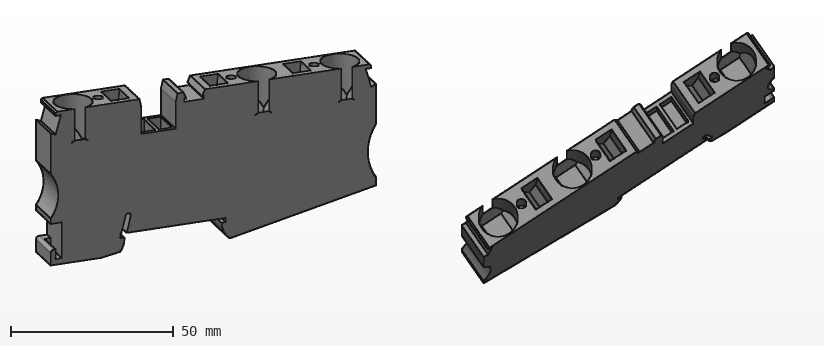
import cadquery as cq
import math

THICKNESS = 12.2
LENGTH = 107.7
HEIGHT = 50.7

END_Y = LENGTH / 2
SIDE_X = THICKNESS / 2

SLOPE_START_Z = 10.2
RAIL_HOOK_Y = 5.4

LIP_Y = 52.2
LIP_CHAMFER = 0.5
LIP_BOTTOM_Z = 49.3
NECK_Y = 50.5
NECK_FOOT_Y = 52.2
SHOULDER_INNER_Z = 43.2
SHOULDER_OUTER_Z = 43.8

SCOOPS = [
    (1, 12.9, 30.6, 2.7),
    (-1, 15.6, 30.4, 2.5),
]

GROOVE_Y_MAX = -2.8
GROOVE_Y_MIN = -9.9
GROOVE_FLOOR_Z = 47.6
GROOVE_LIP_Z = 48.6
GROOVE_LIP_REACH = 1.0
GROOVE_UNDERCUT = 0.6

NOTCH_Y_MAX = -12.5
NOTCH_Y_MIN = -23.8
NOTCH_FLOOR_Z = 39.1
NOTCH_FLARE = 0.6
NOTCH_FLARE_Z = 47.9

POCKET_X = 9.4
POCKET_Y = 4.3
POCKET_DEPTH = 5.4
POCKET_CENTRES_Y = [-15.3, -20.8]

SEAT_Z = 7.0
HOOK_TOP_Z = 5.6
HOOK_TIP_Y = 2.7
HOOK_ROOT_Y = 4.1
LATCH_TIP_Y = -29.4
LATCH_ROOT_Y = -30.7
HOOK_BULGE = (3.6, 2.4)
LATCH_BULGE = (-29.7, 3.2)
LATCH_HEEL = (-30.8, 1.1)
LATCH_TOE_Y = -37.2

SLIT_WIDTH = 1.7
SLIT_TOP = (-28.2, 12.6)
SLIT_BOTTOM = (-29.9, HOOK_TOP_Z)

STEP_DEPTH = 3.7
STEP_BOTTOM_Z = 5.2
STEP_TOP_Z = 13.8

FOOT_GROOVE_Y = 2.0
FOOT_GROOVE_START_X = -3.0
FOOT_GROOVE_DEPTH = 3.2
FOOT_LIP_RADIUS = 1.1

TERMINAL_PITCH = 27.5
FUNNEL_Y = 44.2
FUNNEL_X = 0.3
FUNNEL_RADIUS = 6.0
FUNNEL_DEPTH = 15.1
FUNNEL_FLOOR_X = 7.4
FUNNEL_FLOOR_Y = 7.1
FUNNEL_SIDE_ANGLE = 66
FUNNEL_OUTER_ANGLE = 70
FUNNEL_INNER_ANGLE = 30

TEST_HOLE_Y = 35.8
TEST_HOLE_RADIUS = 1.5
TEST_HOLE_DEPTH = 8.6
TEST_FLOOR_EDGE = 0.3
TEST_SLOPE_ANGLE = 60

SLOT_X = 8.1
SLOT_OUTER_Y = 33.1
SLOT_INNER_Y = 27.1
SLOT_DEPTH = 11.3
SLOT_VALLEY_Y = 30.2
SLOT_OUTER_BEND = (32.4, 6.2)
SLOT_INNER_BEND = (27.8, 7.2)
SLOT_INNER_RIM = 1.7

TERMINALS = [(1, 0), (1, TERMINAL_PITCH), (-1, 0)]


def prism(points, width=THICKNESS, centre_x=0.0):
    """Extrude a closed (Y, Z) polygon along X, centred on centre_x."""
    outline = cq.Workplane("YZ").polyline(points).close()
    return outline.extrude(width / 2, both=True).translate((centre_x, 0, 0))


def rise(run, angle):
    """Height gained over a horizontal run by a face at the given angle."""
    return run * math.tan(math.radians(angle))


def make_body():
    return prism([
        (END_Y, SLOPE_START_Z),
        (RAIL_HOOK_Y, 0),
        (-END_Y, 0),
        (-END_Y, HEIGHT),
        (END_Y, HEIGHT),
    ])


def end_neck(side):
    points = [
        (LIP_Y - LIP_CHAMFER, HEIGHT),
        (LIP_Y, HEIGHT - LIP_CHAMFER),
        (LIP_Y, LIP_BOTTOM_Z),
        (NECK_Y, LIP_BOTTOM_Z),
        (NECK_FOOT_Y, SHOULDER_INNER_Z),
        (END_Y, SHOULDER_OUTER_Z),
        (END_Y, HEIGHT),
    ]
    return prism([(side * y, z) for y, z in points])


def finger_scoop(side, z_min, z_max, depth):
    half_chord = (z_max - z_min) / 2
    radius = (half_chord**2 + depth**2) / (2 * depth)
    centre = (side * (END_Y - depth + radius), (z_min + z_max) / 2)
    return cq.Workplane("YZ").center(*centre).circle(radius).extrude(SIDE_X, both=True)


def marker_groove():
    return prism([
        (GROOVE_Y_MAX, HEIGHT),
        (GROOVE_Y_MAX - GROOVE_LIP_REACH, GROOVE_LIP_Z),
        (GROOVE_Y_MAX - GROOVE_LIP_REACH + GROOVE_UNDERCUT, GROOVE_LIP_Z),
        (GROOVE_Y_MAX - GROOVE_LIP_REACH + GROOVE_UNDERCUT, GROOVE_FLOOR_Z),
        (GROOVE_Y_MIN + GROOVE_LIP_REACH - GROOVE_UNDERCUT, GROOVE_FLOOR_Z),
        (GROOVE_Y_MIN + GROOVE_LIP_REACH - GROOVE_UNDERCUT, GROOVE_LIP_Z),
        (GROOVE_Y_MIN + GROOVE_LIP_REACH, GROOVE_LIP_Z),
        (GROOVE_Y_MIN, HEIGHT),
    ])


def bridge_notch():
    notch = prism([
        (NOTCH_Y_MAX + NOTCH_FLARE, HEIGHT),
        (NOTCH_Y_MAX, NOTCH_FLARE_Z),
        (NOTCH_Y_MAX, NOTCH_FLOOR_Z),
        (NOTCH_Y_MIN, NOTCH_FLOOR_Z),
        (NOTCH_Y_MIN, NOTCH_FLARE_Z),
        (NOTCH_Y_MIN - NOTCH_FLARE, HEIGHT),
    ])
    pocket_z = NOTCH_FLOOR_Z - POCKET_DEPTH / 2
    for y in POCKET_CENTRES_Y:
        pocket = cq.Workplane("XY").box(POCKET_X, POCKET_Y, POCKET_DEPTH)
        notch = notch.union(pocket.translate((0, y, pocket_z)))
    return notch


def rail_seat():
    outline = (
        cq.Workplane("YZ")
        .moveTo(RAIL_HOOK_Y, 0)
        .threePointArc(HOOK_BULGE, (HOOK_TIP_Y, HOOK_TOP_Z))
        .lineTo(HOOK_ROOT_Y, HOOK_TOP_Z)
        .lineTo(HOOK_ROOT_Y, SEAT_Z)
        .lineTo(LATCH_ROOT_Y, SEAT_Z)
        .lineTo(LATCH_ROOT_Y, HOOK_TOP_Z)
        .lineTo(LATCH_TIP_Y, HOOK_TOP_Z)
        .threePointArc(LATCH_BULGE, LATCH_HEEL)
        .lineTo(LATCH_TOE_Y, 0)
        .close()
    )
    return outline.extrude(SIDE_X, both=True)


def spring_slit():
    dy = SLIT_BOTTOM[0] - SLIT_TOP[0]
    dz = SLIT_BOTTOM[1] - SLIT_TOP[1]
    length = math.hypot(dy, dz)
    across_y = -dz / length * SLIT_WIDTH / 2
    across_z = dy / length * SLIT_WIDTH / 2
    slit = prism([
        (SLIT_TOP[0] + across_y, SLIT_TOP[1] + across_z),
        (SLIT_TOP[0] - across_y, SLIT_TOP[1] - across_z),
        (SLIT_BOTTOM[0] - across_y, SLIT_BOTTOM[1] - across_z),
        (SLIT_BOTTOM[0] + across_y, SLIT_BOTTOM[1] + across_z),
    ])
    round_end = cq.Workplane("YZ").center(*SLIT_TOP).circle(SLIT_WIDTH / 2)
    return slit.union(round_end.extrude(SIDE_X, both=True))


def foot_step():
    return prism([
        (-END_Y, STEP_BOTTOM_Z),
        (STEP_DEPTH - END_Y, STEP_BOTTOM_Z),
        (STEP_DEPTH - END_Y, STEP_TOP_Z),
        (-END_Y, STEP_TOP_Z),
    ])


def foot_groove():
    width = SIDE_X - FOOT_GROOVE_START_X
    y_max = STEP_DEPTH - END_Y
    return prism([
        (y_max, STEP_BOTTOM_Z),
        (y_max - FOOT_GROOVE_Y, STEP_BOTTOM_Z),
        (y_max - FOOT_GROOVE_Y, STEP_BOTTOM_Z - FOOT_GROOVE_DEPTH),
        (y_max, STEP_BOTTOM_Z - FOOT_GROOVE_DEPTH),
    ], width, (SIDE_X + FOOT_GROOVE_START_X) / 2)


def wire_funnel():
    """Round shaft whose bottom narrows to a rectangle through four slanted faces."""
    floor_z = HEIGHT - FUNNEL_DEPTH
    reach = 2 * FUNNEL_RADIUS
    half_x = FUNNEL_FLOOR_X / 2
    half_y = FUNNEL_FLOOR_Y / 2
    shaft = (
        cq.Workplane("XY", origin=(FUNNEL_X, FUNNEL_Y, floor_z))
        .circle(FUNNEL_RADIUS)
        .extrude(FUNNEL_DEPTH)
    )
    ceiling_z = floor_z + rise(reach, FUNNEL_OUTER_ANGLE)
    along_y = prism([
        (FUNNEL_Y - half_y, floor_z),
        (FUNNEL_Y + half_y, floor_z),
        (FUNNEL_Y + half_y + reach, ceiling_z),
        (FUNNEL_Y - half_y - reach, ceiling_z),
        (FUNNEL_Y - half_y - reach, floor_z + rise(reach, FUNNEL_INNER_ANGLE)),
    ], 2 * reach)
    side_z = floor_z + rise(reach, FUNNEL_SIDE_ANGLE)
    along_x = (
        cq.Workplane("XZ", origin=(FUNNEL_X, FUNNEL_Y, 0))
        .polyline([
            (-half_x, floor_z),
            (half_x, floor_z),
            (half_x + reach, side_z),
            (-half_x - reach, side_z),
        ])
        .close()
        .extrude(reach, both=True)
    )
    return shaft.intersect(along_y).intersect(along_x)


def test_hole():
    """Small round hole with a level floor that ramps up on the outward side."""
    floor_z = HEIGHT - TEST_HOLE_DEPTH
    hole = (
        cq.Workplane("XY", origin=(0, TEST_HOLE_Y, floor_z))
        .circle(TEST_HOLE_RADIUS)
        .extrude(TEST_HOLE_DEPTH)
    )
    ramp_y = TEST_HOLE_Y + TEST_FLOOR_EDGE
    run = 2 * TEST_HOLE_RADIUS
    ramp = prism([
        (ramp_y, floor_z),
        (ramp_y + run, floor_z),
        (ramp_y + run, floor_z + rise(run, TEST_SLOPE_ANGLE)),
    ])
    return hole.cut(ramp)


def release_slot():
    """Rectangular slot with drafted ends that close to a V, upright at the inner rim."""
    return prism([
        (SLOT_OUTER_Y, HEIGHT),
        (SLOT_OUTER_BEND[0], HEIGHT - SLOT_OUTER_BEND[1]),
        (SLOT_VALLEY_Y, HEIGHT - SLOT_DEPTH),
        (SLOT_INNER_BEND[0], HEIGHT - SLOT_INNER_BEND[1]),
        (SLOT_INNER_Y, HEIGHT - SLOT_INNER_RIM),
        (SLOT_INNER_Y, HEIGHT),
    ], SLOT_X)


def terminal(side, shift):
    openings = wire_funnel().union(test_hole()).union(release_slot())
    if side < 0:
        openings = openings.mirror("XZ")
    return openings.translate((0, -side * shift, 0))


result = make_body()
for end_side in (1, -1):
    result = result.cut(end_neck(end_side))
for scoop in SCOOPS:
    result = result.cut(finger_scoop(*scoop))
result = result.cut(marker_groove())
result = result.cut(bridge_notch())
result = result.cut(rail_seat())
result = result.cut(spring_slit())
result = result.cut(foot_step())
foot_lip_edge = cq.selectors.NearestToPointSelector((0, -END_Y, STEP_BOTTOM_Z))
result = result.edges(foot_lip_edge).fillet(FOOT_LIP_RADIUS)
result = result.cut(foot_groove())
for direction, offset in TERMINALS:
    result = result.cut(terminal(direction, offset))